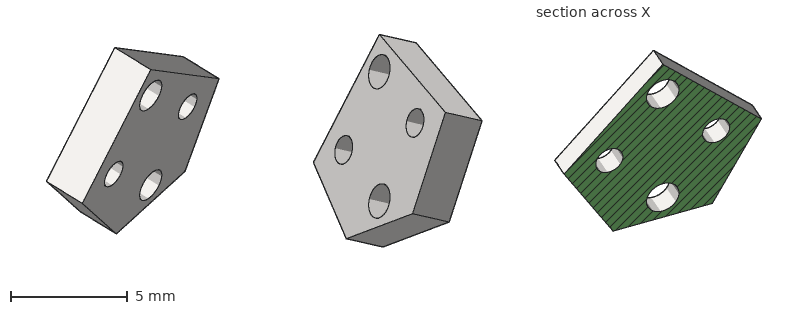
import cadquery as cq
import math

thickness = 2.0
width = 9.25
lower_height = 3.99
lower_edge_angle = 60.0

half_width = width / 2
upper_height = half_width
half_base = half_width - lower_height / math.tan(math.radians(lower_edge_angle))

hole_centre_z = 0.05
large_diameter = 1.5
large_spacing = 5.8
small_diameter = 1.25
small_spacing = 4.995

outline = [
    (-half_base, -lower_height),
    (half_base, -lower_height),
    (half_width, 0),
    (0, upper_height),
    (-half_width, 0),
]


def cut_holes(body, diameter, centres):
    """Cut round holes through the thickness at the given (y, z) centres."""
    drills = cq.Workplane("YZ").pushPoints(centres).circle(diameter / 2).extrude(thickness)
    return body.cut(drills)


plate = cq.Workplane("YZ").polyline(outline).close().extrude(thickness)

large_centres = [(0, hole_centre_z + side * large_spacing / 2) for side in (-1, 1)]
small_centres = [(side * small_spacing / 2, hole_centre_z) for side in (-1, 1)]

plate = cut_holes(plate, large_diameter, large_centres)
result = cut_holes(plate, small_diameter, small_centres)